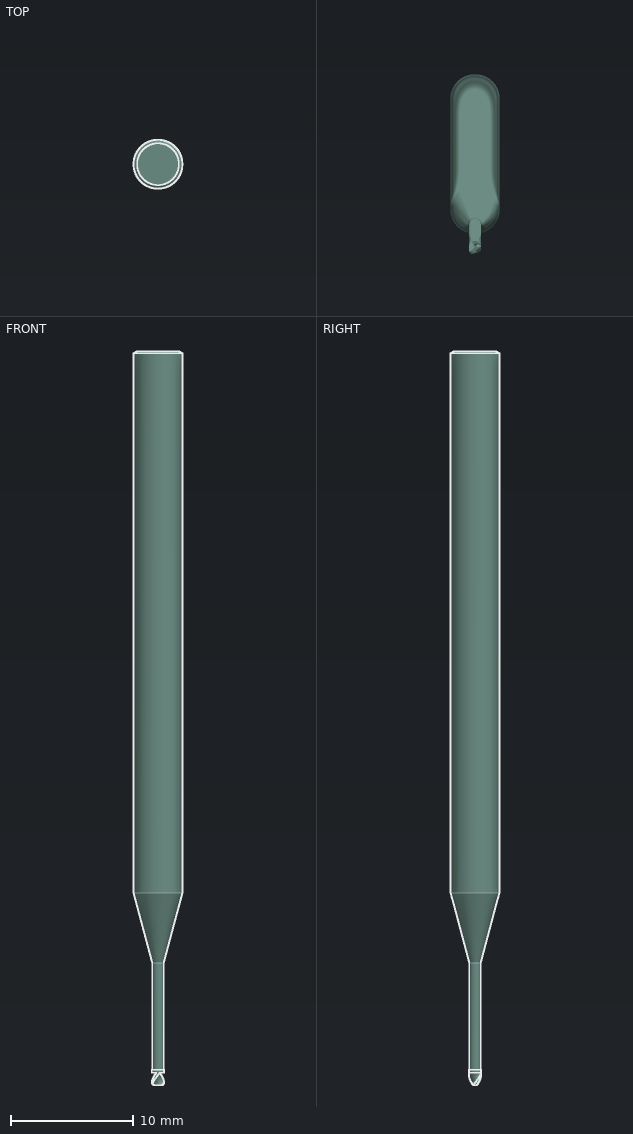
import cadquery as cq
import math

total_length = 60.0
shank_diameter = 4.0
shank_chamfer_width = 0.3
shank_chamfer_height = 0.2

neck_diameter = 0.95
neck_top = 10.0
cone_half_angle = 15.0

cutter_diameter = 1.0
cutter_corner_radius = 0.25
cutter_length = 1.25
flute_length = 1.0
blade_thickness = 0.3
blade_twist = 90.0

shank_radius = shank_diameter / 2
neck_radius = neck_diameter / 2
cutter_radius = cutter_diameter / 2
cone_height = (shank_radius - neck_radius) / math.tan(math.radians(cone_half_angle))
cone_top = neck_top + cone_height


def make_shank():
    """Turned shank, cone and neck, ending on top of the cutter."""
    profile = [
        (0, cutter_length),
        (neck_radius, cutter_length),
        (neck_radius, neck_top),
        (shank_radius, cone_top),
        (shank_radius, total_length - shank_chamfer_height),
        (shank_radius - shank_chamfer_width, total_length),
        (0, total_length),
    ]
    return cq.Workplane("XZ").polyline(profile).close().revolve(360, (0, 0), (0, 1))


def make_cutter():
    """Twisted blade with rounded corners below a plain round collar."""
    envelope = (
        cq.Workplane("XY")
        .circle(cutter_radius)
        .extrude(cutter_length)
        .faces("<Z")
        .edges()
        .fillet(cutter_corner_radius)
    )
    blade_width = 1.5 * cutter_diameter
    blade = cq.Workplane("XY").rect(blade_width, blade_thickness).twistExtrude(flute_length, blade_twist)
    collar = (
        cq.Workplane("XY")
        .workplane(offset=flute_length)
        .circle(cutter_radius)
        .extrude(cutter_length - flute_length)
    )
    return envelope.intersect(blade).union(collar)


shank = make_shank()
cutter = make_cutter()

result = cq.Compound.makeCompound([shank.val(), cutter.val()])